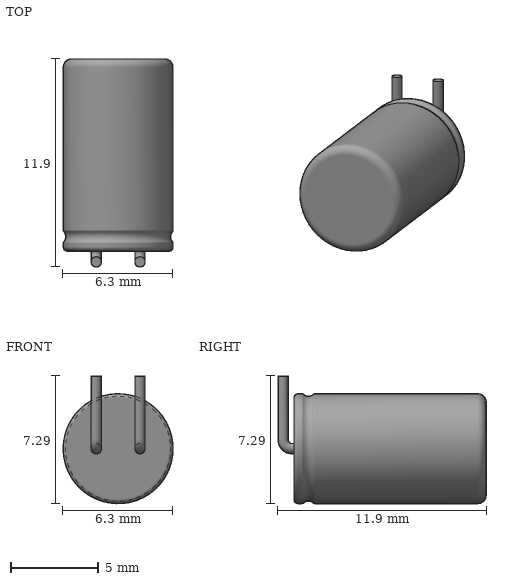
import cadquery as cq
import math

can_diameter = 6.3
can_length = 11.0
lead_end_fillet = 0.25
far_end_fillet = 0.5

groove_center_y = 0.83
groove_radius = 0.43
groove_lip_radius = 0.15
groove_depth = 0.14

lead_diameter = 0.6
lead_spacing = 2.5
lead_bend_radius = 0.5
lead_gap = 0.31
lead_top_z = 4.14


def make_can():
    """Solid of revolution about Y with rounded ends."""
    can_radius = can_diameter / 2
    return (
        cq.Workplane("XZ")
        .circle(can_radius)
        .extrude(-can_length)
        .faces("<Y").edges().fillet(lead_end_fillet)
        .faces(">Y").edges().fillet(far_end_fillet)
    )


def make_groove_ring():
    """Ring to cut: a concave arc blended into the can wall by a convex lip arc on each side."""
    can_radius = can_diameter / 2
    turn = math.acos(1 - groove_depth / (groove_radius + groove_lip_radius))
    floor_half_width = groove_radius * math.sin(turn)
    half_width = floor_half_width + groove_lip_radius * math.sin(turn)
    joint_radius = can_radius - groove_lip_radius * (1 - math.cos(turn))
    lip_mid_radius = can_radius - groove_lip_radius * (1 - math.cos(turn / 2))
    lip_mid_offset = half_width - groove_lip_radius * math.sin(turn / 2)
    ring_outer_radius = can_radius + groove_depth

    return (
        cq.Workplane("XY")
        .moveTo(ring_outer_radius, groove_center_y - half_width)
        .lineTo(can_radius, groove_center_y - half_width)
        .threePointArc(
            (lip_mid_radius, groove_center_y - lip_mid_offset),
            (joint_radius, groove_center_y - floor_half_width),
        )
        .threePointArc(
            (can_radius - groove_depth, groove_center_y),
            (joint_radius, groove_center_y + floor_half_width),
        )
        .threePointArc(
            (lip_mid_radius, groove_center_y + lip_mid_offset),
            (can_radius, groove_center_y + half_width),
        )
        .lineTo(ring_outer_radius, groove_center_y + half_width)
        .close()
        .revolve(360, (0, 0, 0), (0, 1, 0))
    )


def make_lead(x):
    """Round wire leaving the can end along -Y and bending up to +Z."""
    upright_y = -(lead_gap + lead_diameter / 2)
    bend_start_y = upright_y + lead_bend_radius
    bend_mid_shift = lead_bend_radius * math.sin(math.pi / 4)
    path = (
        cq.Workplane("YZ", origin=(x, 0, 0))
        .lineTo(bend_start_y, 0)
        .threePointArc(
            (bend_start_y - bend_mid_shift, lead_bend_radius - bend_mid_shift),
            (upright_y, lead_bend_radius),
        )
        .lineTo(upright_y, lead_top_z)
    )
    return cq.Workplane("XZ", origin=(x, 0, 0)).circle(lead_diameter / 2).sweep(path)


result = make_can().cut(make_groove_ring())
for side in (-1, 1):
    result = result.union(make_lead(side * lead_spacing / 2))